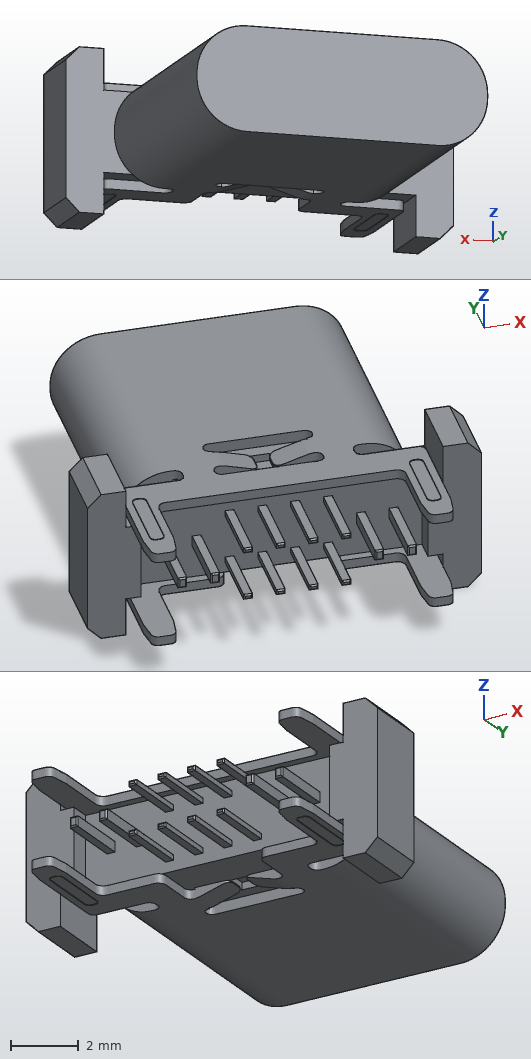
import cadquery as cq

OVERALL_WIDTH = 12.0
OVERALL_LENGTH = 12.2
OVERALL_HEIGHT = 5.0
LEG_TIP_Y = -2.21
SHELL_END_Y = OVERALL_LENGTH + LEG_TIP_Y

SHELL_WIDTH = 9.0
SHELL_HEIGHT = 3.2
SHELL_CORNER_RADIUS = 1.54
SHELL_TOP = SHELL_HEIGHT / 2

BLOCK_DEPTH = 2.12
BLOCK_WIDTH = 1.17
BLOCK_CHAMFER = 0.41
HOUSING_HEIGHT = 2.49
HOUSING_TOP = HOUSING_HEIGHT / 2
RECESS_WIDTH = 8.74
RECESS_DEPTH = 0.68

PLATE_THICKNESS = 0.3
PLATE_REAR_Y = 0.49
PLATE_FRONT_Y = 1.56
PLATE_BOTTOM = SHELL_TOP - PLATE_THICKNESS
PLATE_CORNER_RADIUS = 0.2
LEG_INNER_RADIUS = 0.27
NECK_WIDTH = 5.22
RELIEF_RADIUS = 0.23
LEG_X = 4.22
LEG_WIDTH = 0.92
LEG_TAPER_Y = -1.46
LEG_TIP_WIDTH = 0.71
LEG_TIP_RADIUS = 0.22
BEAD_WIDTH = 0.43
BEAD_RADIUS = 0.17
BEAD_REAR_Y = -1.42
BEAD_FRONT_Y = 0.9
BEAD_DEPTH = 0.02

SLOT_WIDTH = 3.32
SLOT_RADIUS = 0.21
REAR_SLOT_FRONT_Y = 2.03
FRONT_SLOT_REAR_Y = 2.87
FRONT_SLOT_FRONT_Y = 3.3
WINDOW_WIDTH = 2.85
TONGUE_BEND_X = 1.28
TONGUE_TIP_X = 0.25
TONGUE_TIP_RISE = 0.04
TONGUE_TIP_RADIUS = 0.25
TONGUE_BEND_DROP = 0.018
TONGUE_FRONT_Y = 2.83
PIT_WIDTH = 0.61
PIT_REAR_Y = 2.1
PIT_DEPTH = 0.25
NOTCH_MOUTH_RADIUS = 0.26

PIN_PITCH = 1.0
PIN_WIDTH = 0.27
PIN_END_Y = -1.5
PIN_TIP_CHAMFER = 0.05
SIGNAL_PIN_Z = 0.8
SIGNAL_PIN_THICKNESS = 0.17
POWER_PIN_THICKNESS = 0.34


def box(x_range, y_range, z_range):
    """Box spanning the given (low, high) pairs."""
    (x0, x1), (y0, y1), (z0, z1) = x_range, y_range, z_range
    return cq.Workplane("XY").box(x1 - x0, y1 - y0, z1 - z0, centered=False).translate((x0, y0, z0))


def centered_box(width, y_range, z_range):
    """Box centered on X = 0."""
    return box((-width / 2, width / 2), y_range, z_range)


def underside(solid):
    """Mirror a top-side solid to the bottom."""
    return solid.mirror("XY")


def both_sides(solid):
    """A right-hand solid together with its left-hand mirror image."""
    return solid.union(solid.mirror("YZ"))


def make_shell_body():
    body = centered_box(SHELL_WIDTH, (BLOCK_DEPTH, SHELL_END_Y), (-SHELL_TOP, SHELL_TOP))
    return body.edges("|Y").fillet(SHELL_CORNER_RADIUS)


def make_housing():
    inner_x = OVERALL_WIDTH / 2 - BLOCK_WIDTH
    block = box(
        (inner_x, OVERALL_WIDTH / 2),
        (0, BLOCK_DEPTH),
        (-OVERALL_HEIGHT / 2, OVERALL_HEIGHT / 2),
    )
    block = block.edges("|Y and >X").chamfer(BLOCK_CHAMFER)
    housing_z = (-HOUSING_TOP, HOUSING_TOP)
    bar = centered_box(2 * inner_x, (0, BLOCK_DEPTH), housing_z)
    recess = centered_box(RECESS_WIDTH, (0, RECESS_DEPTH), housing_z)
    return bar.cut(recess).union(both_sides(block))


def make_right_leg():
    """Solder leg running from the front edge of the plate to its tapered tip."""
    half_width = LEG_WIDTH / 2
    half_tip = LEG_TIP_WIDTH / 2
    leg = (
        cq.Workplane("XY", origin=(LEG_X, 0, PLATE_BOTTOM))
        .polyline([
            (-half_width, PLATE_FRONT_Y),
            (-half_width, LEG_TAPER_Y),
            (-half_tip, LEG_TIP_Y),
            (half_tip, LEG_TIP_Y),
            (half_width, LEG_TAPER_Y),
            (half_width, PLATE_FRONT_Y),
        ])
        .close()
        .extrude(PLATE_THICKNESS)
    )
    return leg.edges("|Z and <Y").fillet(LEG_TIP_RADIUS)


def make_right_bead():
    """Shallow rounded depression along the leg."""
    bead = box(
        (LEG_X - BEAD_WIDTH / 2, LEG_X + BEAD_WIDTH / 2),
        (BEAD_REAR_Y, BEAD_FRONT_Y),
        (SHELL_TOP - BEAD_DEPTH, SHELL_TOP),
    )
    return bead.edges("|Z").fillet(BEAD_RADIUS)


def make_top_plate():
    """Plate with two legs, joined to the shell body by a narrower neck."""
    plate_z = (PLATE_BOTTOM, SHELL_TOP)
    plate_half = LEG_X + LEG_WIDTH / 2
    leg_inner_x = LEG_X - LEG_WIDTH / 2
    corners = (
        (plate_half, PLATE_FRONT_Y, PLATE_CORNER_RADIUS),
        (leg_inner_x, PLATE_REAR_Y, LEG_INNER_RADIUS),
    )

    plate = centered_box(2 * plate_half, (PLATE_REAR_Y, PLATE_FRONT_Y), plate_z)
    plate = plate.union(both_sides(make_right_leg()))
    for side in (-1, 1):
        for x, y, radius in corners:
            corner = cq.selectors.NearestToPointSelector((side * x, y, SHELL_TOP - PLATE_THICKNESS / 2))
            plate = plate.edges("|Z").edges(corner).fillet(radius)
    plate = plate.cut(both_sides(make_right_bead()))

    neck = centered_box(NECK_WIDTH + 2 * RELIEF_RADIUS, (PLATE_FRONT_Y, BLOCK_DEPTH), plate_z)
    relief = box((NECK_WIDTH / 2, plate_half), (PLATE_FRONT_Y, BLOCK_DEPTH), plate_z)
    relief = relief.edges("|Z and <X").fillet(RELIEF_RADIUS)
    return plate.union(neck.cut(both_sides(relief)))


def make_slot(rear_y, front_y):
    slot = centered_box(SLOT_WIDTH, (rear_y, front_y), (HOUSING_TOP, SHELL_TOP))
    return slot.edges("|Z").fillet(SLOT_RADIUS)


def make_latch_window():
    """Cutter for the two slots, the space between them and the pit under the tongue tips."""
    window = centered_box(
        WINDOW_WIDTH, (REAR_SLOT_FRONT_Y, FRONT_SLOT_REAR_Y), (HOUSING_TOP, SHELL_TOP)
    )
    pit = centered_box(PIT_WIDTH, (PIT_REAR_Y, FRONT_SLOT_REAR_Y), (HOUSING_TOP - PIT_DEPTH, HOUSING_TOP))
    return (
        window
        .union(pit)
        .union(make_slot(PLATE_FRONT_Y, REAR_SLOT_FRONT_Y))
        .union(make_slot(FRONT_SLOT_REAR_Y, FRONT_SLOT_FRONT_Y))
    )


def make_tongues():
    """Pair of tongues sloping down from the window ends toward the middle."""
    tip_z = HOUSING_TOP + TONGUE_TIP_RISE
    tongue = (
        cq.Workplane("XZ", origin=(0, TONGUE_FRONT_Y, 0))
        .polyline([
            (WINDOW_WIDTH / 2, SHELL_TOP),
            (TONGUE_BEND_X, SHELL_TOP - TONGUE_BEND_DROP),
            (TONGUE_TIP_X, tip_z),
            (TONGUE_TIP_X, HOUSING_TOP),
            (WINDOW_WIDTH / 2, HOUSING_TOP),
        ])
        .close()
        .extrude(TONGUE_FRONT_Y - REAR_SLOT_FRONT_Y)
    )
    return both_sides(tongue.edges("|Z and <X").fillet(TONGUE_TIP_RADIUS))


def make_rear_notch():
    """Cutter that opens the rear slot through the rear edge, with a rounded mouth."""
    plate_z = (HOUSING_TOP, SHELL_TOP)
    mouth_front_y = PLATE_REAR_Y + NOTCH_MOUTH_RADIUS
    notch = centered_box(SLOT_WIDTH, (PLATE_REAR_Y, REAR_SLOT_FRONT_Y), plate_z)
    notch = notch.edges("|Z and >Y").fillet(SLOT_RADIUS)
    mouth_half = SLOT_WIDTH / 2 + NOTCH_MOUTH_RADIUS
    mouth = centered_box(2 * mouth_half, (PLATE_REAR_Y, mouth_front_y), plate_z)
    rounded_corners = (
        cq.Workplane("XY", origin=(0, 0, HOUSING_TOP))
        .pushPoints([(-mouth_half, mouth_front_y), (mouth_half, mouth_front_y)])
        .circle(NOTCH_MOUTH_RADIUS)
        .extrude(SHELL_TOP - HOUSING_TOP)
    )
    return notch.union(mouth.cut(rounded_corners))


def make_pin(x, z, thickness):
    """Contact pin standing out of the recessed housing face, with a chamfered tip."""
    pin = box(
        (x - PIN_WIDTH / 2, x + PIN_WIDTH / 2),
        (PIN_END_Y, RECESS_DEPTH),
        (z - thickness / 2, z + thickness / 2),
    )
    return pin.faces("<Y").chamfer(PIN_TIP_CHAMFER)


def add_pins(part):
    for position in (0.5, 1.5):
        for side in (-1, 1):
            for z in (-SIGNAL_PIN_Z, SIGNAL_PIN_Z):
                part = part.union(make_pin(side * position * PIN_PITCH, z, SIGNAL_PIN_THICKNESS))
    for position in (2.5, 3.5):
        for side in (-1, 1):
            part = part.union(make_pin(side * position * PIN_PITCH, 0, POWER_PIN_THICKNESS))
    return part


top_plate = make_top_plate()
latch_window = make_latch_window()
tongues = make_tongues()

result = make_shell_body().union(make_housing())
result = result.union(top_plate).union(underside(top_plate))
result = result.cut(latch_window).cut(underside(latch_window.union(make_rear_notch())))
result = result.union(tongues).union(underside(tongues))
result = add_pins(result)